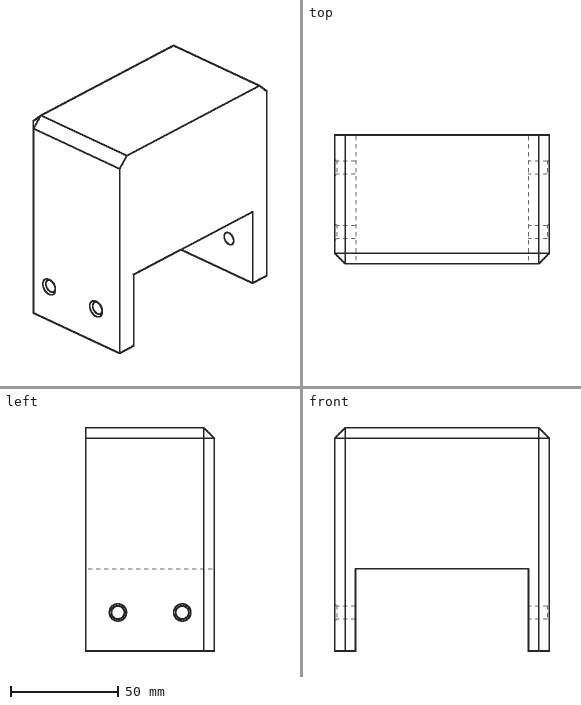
import cadquery as cq

width = 100.0
depth = 60.0
height = 104.0
edge_chamfer = 5.0

leg_thickness = 9.8
opening_height = 38.3

hole_diameter = 6.0
countersink_diameter = 8.0
countersink_depth = (countersink_diameter - hole_diameter) / 2
hole_height = 18.0
hole_spacing = 30.0
first_hole_y = 15.0
hole_count = 2


def make_block():
    """Block with its front face at Y = 0, centred on X, standing on Z = 0."""
    block = cq.Workplane("XY").box(width, depth, height, centered=(True, False, False))
    return block.faces("<Y or >Z").edges("|Y or (<Y and >Z) or (|Z and <Y)").chamfer(edge_chamfer)


def make_opening():
    """Slot running front to back, open at the bottom."""
    opening_width = width - 2 * leg_thickness
    return cq.Workplane("XY").box(opening_width, depth, opening_height, centered=(True, False, False))


def make_countersunk_hole(y):
    """Cross hole along X, countersunk on both outer side faces."""
    radius = hole_diameter / 2
    outer_radius = countersink_diameter / 2
    half_width = width / 2
    straight_end = half_width - countersink_depth
    profile = [
        (-half_width, 0),
        (-half_width, outer_radius),
        (-straight_end, radius),
        (straight_end, radius),
        (half_width, outer_radius),
        (half_width, 0),
    ]
    hole = cq.Workplane("XY").polyline(profile).close().revolve(360, (0, 0, 0), (1, 0, 0))
    return hole.translate((0, y, hole_height))


result = make_block().cut(make_opening())
for hole_index in range(hole_count):
    result = result.cut(make_countersunk_hole(first_hole_y + hole_index * hole_spacing))